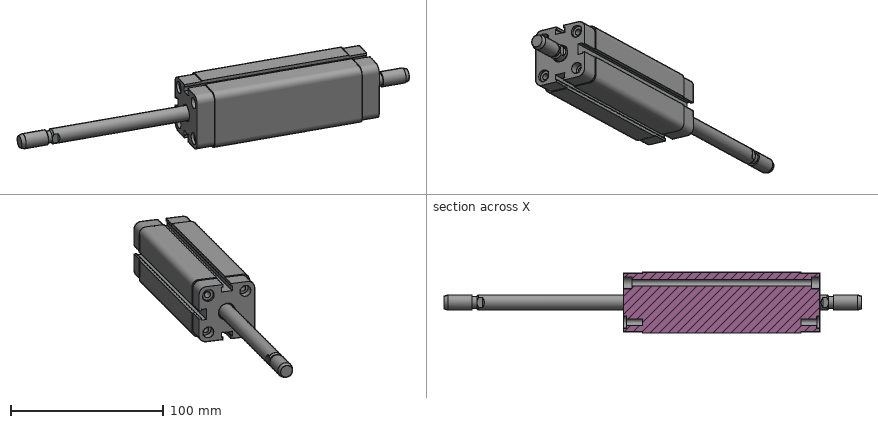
import cadquery as cq


total_length = 274.5
front_rod_length = 118.0
rear_rod_length = 27.5
cap_length = 12.4
front_tip_y = -total_length / 2
rear_tip_y = total_length / 2
front_face_y = front_tip_y + front_rod_length
rear_face_y = rear_tip_y - rear_rod_length
housing_length = rear_face_y - front_face_y
barrel_length = housing_length - 2 * cap_length

barrel_width = 40.0
barrel_corner_radius = 4.7
cap_width = 38.7
cap_corner_radius = 5.0

slot_mouth_width = 5.8
slot_inner_width = 7.5
slot_lip = 2.5
slot_depth = 5.8

hole_offset = 13.0
hole_diameter = 4.0
screw_recess_diameter = 8.0
thread_recess_diameter = 7.5
thread_recess_depth = 5.5
screw_recess_depth = 2.0
screw_hole_depth = cap_length

rod_diameter = 10.2
rod_bore_diameter = 11.5
rod_bore_depth = 1.5
neck_diameter = 8.0
neck_length = 3.0
thread_length = 18.7
tip_diameter = 8.2
tip_chamfer_length = 2.7
shoulder_chamfer_length = 1.0
flat_width = 8.0
flat_length = 3.8


def square_bar(width, corner_radius, start_y, length):
    """Square bar with rounded long edges, running from start_y towards +Y."""
    return (
        cq.Workplane("XZ", origin=(0, start_y, 0))
        .rect(width, width)
        .extrude(-length)
        .edges("|Y")
        .fillet(corner_radius)
    )


def cylinder(diameter, start_y, length, x=0, z=0):
    """Round bar along Y, running from start_y towards +Y."""
    return cq.Workplane("XZ", origin=(x, start_y, z)).circle(diameter / 2).extrude(-length)


def t_slot(angle):
    """T-slot cutter for the +Z face, turned about Y by angle."""
    top = barrel_width / 2
    mouth = slot_mouth_width / 2
    inner = slot_inner_width / 2
    half_outline = [
        (mouth, top),
        (mouth, top - slot_lip),
        (inner, top - slot_lip),
        (inner, top - slot_depth),
    ]
    mirrored_half = [(-x, z) for x, z in reversed(half_outline)]
    return (
        cq.Workplane("XZ", origin=(0, front_face_y, 0))
        .polyline(half_outline + mirrored_half)
        .close()
        .extrude(-housing_length)
        .rotate((0, 0, 0), (0, 1, 0), angle)
    )


def make_housing():
    housing = square_bar(barrel_width, barrel_corner_radius, front_face_y + cap_length, barrel_length)
    for start_y in (front_face_y, rear_face_y - cap_length):
        housing = housing.union(square_bar(cap_width, cap_corner_radius, start_y, cap_length))
    for angle in (0, 180, -90):
        housing = housing.cut(t_slot(angle))

    for start_y in (front_face_y, rear_face_y - rod_bore_depth):
        housing = housing.cut(cylinder(rod_bore_diameter, start_y, rod_bore_depth))

    for side in (-1, 1):
        x = side * hole_offset
        housing = housing.cut(cylinder(hole_diameter, front_face_y, housing_length, x, x))
        for start_y in (front_face_y, rear_face_y - thread_recess_depth):
            housing = housing.cut(cylinder(thread_recess_diameter, start_y, thread_recess_depth, x, x))
        for start_y in (front_face_y, rear_face_y - screw_recess_depth):
            housing = housing.cut(cylinder(screw_recess_diameter, start_y, screw_recess_depth, x, -x))
        for start_y in (front_face_y, rear_face_y - screw_hole_depth):
            housing = housing.cut(cylinder(hole_diameter, start_y, screw_hole_depth, x, -x))
    return housing


def rod_end_outline(tip_y, inward):
    """Radius and Y points from the tip to the rod shoulder; inward is the Y sign leading to the housing."""
    thread_end = thread_length
    shoulder = thread_end + neck_length
    steps = [
        (0, 0),
        (tip_diameter / 2, 0),
        (rod_diameter / 2, tip_chamfer_length),
        (rod_diameter / 2, thread_end),
        (neck_diameter / 2, thread_end),
        (neck_diameter / 2, shoulder),
        (rod_diameter / 2, shoulder + shoulder_chamfer_length),
    ]
    return [(radius, tip_y + inward * distance) for radius, distance in steps]


def flat_cutters(tip_y, inward):
    """Pair of spanner-flat cutters behind the neck, each with a 45-degree run-out."""
    start = thread_length + neck_length
    end = start + flat_length
    inner = flat_width / 2
    outer = rod_diameter / 2
    cutters = cq.Workplane("XY")
    for side in (-1, 1):
        corners = [(inner, start), (inner, end), (outer, end + outer - inner), (outer, start)]
        points = [(side * x, tip_y + inward * distance) for x, distance in corners]
        cutter = cq.Workplane("XY").polyline(points).close().extrude(rod_diameter / 2, both=True)
        cutters = cutters.add(cutter)
    return cutters.combine()


def make_rod():
    front_outline = rod_end_outline(front_tip_y, 1)
    rear_outline = rod_end_outline(rear_tip_y, -1)
    rod = (
        cq.Workplane("XY")
        .polyline(front_outline + rear_outline[::-1])
        .close()
        .revolve(360, (0, 0, 0), (0, 1, 0))
    )
    rod = rod.cut(flat_cutters(front_tip_y, 1))
    return rod.cut(flat_cutters(rear_tip_y, -1))


result = make_housing().union(make_rod())